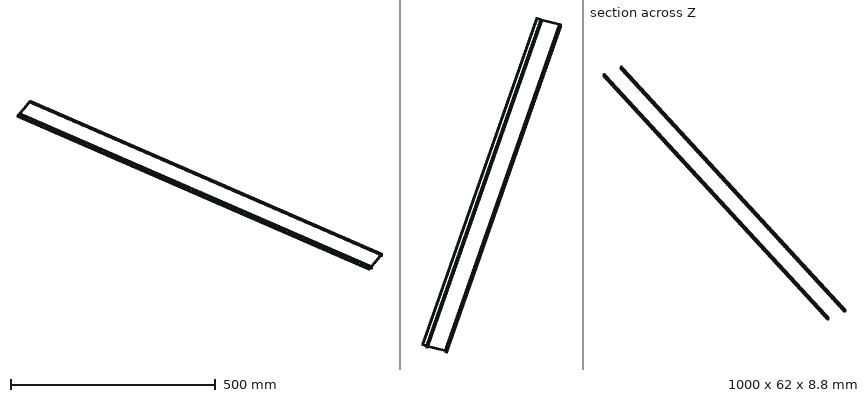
import cadquery as cq

length = 1000.0
width = 62.0
height = 8.8

wall = 1.0
plate_top = 6.4
lip_step = 0.5
lip_width = 11.0
lip_edge_bottom = 6.5
shoulder_width = 4.5
shoulder_drop = 1.9
rear_leg_thickness = 3.0
front_toe_reach = 3.0

plate_bottom = plate_top - wall
shoulder_y = width - shoulder_width
shoulder_slope = shoulder_drop / shoulder_width
rear_leg_y = width - rear_leg_thickness
rear_leg_top = plate_bottom - shoulder_slope * (rear_leg_y - shoulder_y)
lip_root_top = plate_top + lip_step
lip_root_bottom = lip_root_top - wall
lip_slope = (height - lip_root_top) / lip_width
lip_bend_z = lip_root_bottom + lip_slope * (lip_width - wall)
front_leg_y = lip_width - wall
front_leg_top = lip_root_bottom + lip_slope * wall
front_leg_inner_y = front_leg_y + wall
front_toe_y = front_leg_y + front_toe_reach


def lip_outline(section):
    """Over the step, up the sloping lip, round its edge and back to the front leg."""
    return (
        section.lineTo(lip_width, plate_top)
        .lineTo(lip_width, lip_root_top)
        .lineTo(0, height)
        .lineTo(0, lip_edge_bottom)
        .lineTo(wall, lip_edge_bottom)
        .lineTo(wall, lip_bend_z)
        .lineTo(front_leg_y, front_leg_top)
    )


def front_foot_outline(section):
    """Down the front leg, round its inward toe and back up to the plate."""
    return (
        section.lineTo(front_leg_y, 0)
        .lineTo(front_toe_y, 0)
        .lineTo(front_toe_y, wall)
        .lineTo(front_leg_inner_y, wall)
        .lineTo(front_leg_inner_y, plate_bottom)
    )


def rear_leg_outline(section):
    """Along the plate's underside, round the rear leg and back to the top of the shoulder."""
    return (
        section.lineTo(shoulder_y, plate_bottom)
        .lineTo(rear_leg_y, rear_leg_top)
        .lineTo(rear_leg_y, 0)
        .lineTo(width, 0)
        .lineTo(width, plate_top - shoulder_drop)
    )


profile = cq.Workplane("YZ").moveTo(shoulder_y, plate_top)
profile = lip_outline(profile)
profile = front_foot_outline(profile)
profile = rear_leg_outline(profile)
rail = profile.close().extrude(length)
result = rail.translate((-length / 2, -width / 2, -height / 2))